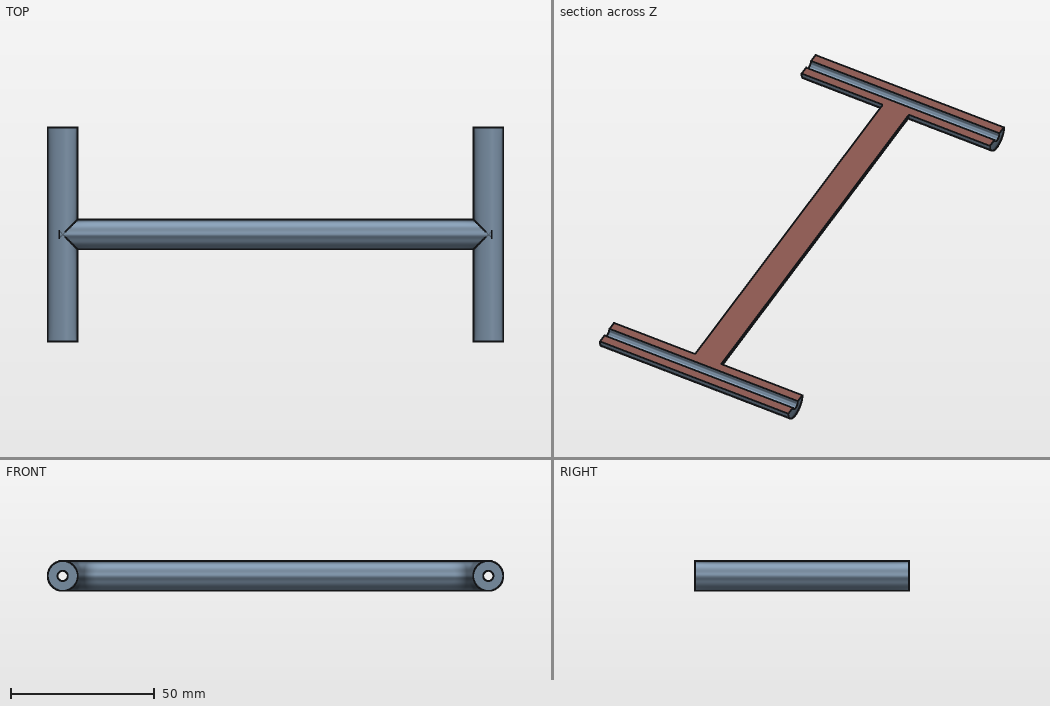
import cadquery as cq

overall_length = 158.4
leg_length = 74.5
bar_diameter = 10.5
leg_bore_diameter = 3.5
crossbar_overrun = 1.3

leg_spacing = overall_length - bar_diameter
leg_positions = (-leg_spacing / 2, leg_spacing / 2)
crossbar_length = leg_spacing + 2 * crossbar_overrun


def leg_cylinder(diameter, x):
    """Cylinder of the full leg length along Y, with its axis at the given X."""
    return (
        cq.Workplane("XZ", origin=(x, leg_length / 2, 0))
        .circle(diameter / 2)
        .extrude(leg_length)
    )


result = (
    cq.Workplane("YZ", origin=(-crossbar_length / 2, 0, 0))
    .circle(bar_diameter / 2)
    .extrude(crossbar_length)
)

for leg_x in leg_positions:
    result = result.union(leg_cylinder(bar_diameter, leg_x))

for leg_x in leg_positions:
    result = result.cut(leg_cylinder(leg_bore_diameter, leg_x))